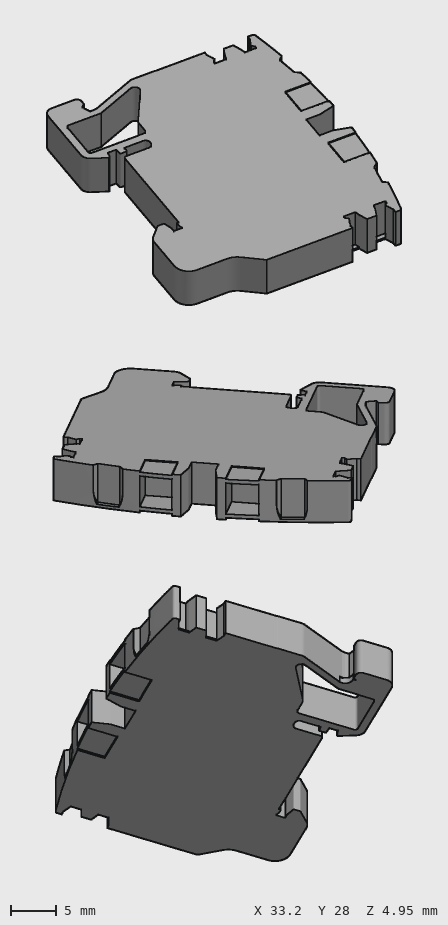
import cadquery as cq
import math

THICKNESS = 4.95
BODY_HALF_WIDTH = 16.55
UPPER_LEFT = -16.5
FOOT_LEFT = -16.65
CROWN_RADIUS = 73.05
CROWN_TOP = 28.05
CROWN_CORNER_RADIUS = 0.33
RAIL_FACE = 3.92
LIP_THICKNESS = 0.23

NOTCH_MIDDLE = 22.7
TOOTH_TIP_X = 16.05
NOTCH_FLOOR_X = 15.0
RELIEF_FLOOR_X = 14.4

SLOT_HALF_WIDTH = 1.5
SLOT_MOUTH_HALF_WIDTH = 2.03
SLOT_FLOOR = 24.3
SLOT_FLARE_START = 26.03

ENTRY_INNER_X = 3.0
ENTRY_OUTER_X = 6.6
ENTRY_FLOOR = 24.55
ENTRY_Z_MIN = 0.7
ENTRY_Z_MAX = 4.35
FRONT_RECESS_DEPTH = 0.13
BACK_RECESS_DEPTH = LIP_THICKNESS

GROOVE_Z_MIN = 0.35
GROOVE_END_CURVE_HEIGHT = 1.63

HOOK_ROUND_Z = 0.83

CLEARANCE = 1.65
ABOVE_CROWN = CROWN_TOP + CLEARANCE


def rounded_wire(corners):
    """Closed outline through (x, y) or (x, y, radius) corners, each radius rounding its corner."""
    stretches = []
    for i, corner in enumerate(corners):
        point = cq.Vector(corner[0], corner[1])
        radius = corner[2] if len(corner) > 2 else 0
        if radius == 0:
            stretches.append([point])
            continue
        before = corners[i - 1]
        after = corners[(i + 1) % len(corners)]
        to_before = (cq.Vector(before[0], before[1]) - point).normalized()
        to_after = (cq.Vector(after[0], after[1]) - point).normalized()
        half_angle = to_before.getAngle(to_after) / 2
        tangent_length = radius / math.tan(half_angle)
        middle_distance = radius / math.sin(half_angle) - radius
        middle = point + (to_before + to_after).normalized() * middle_distance
        stretches.append([point + to_before * tangent_length, middle, point + to_after * tangent_length])

    start = stretches[-1][-1]
    outline = cq.Workplane("XY").moveTo(start.x, start.y)
    for stretch in stretches:
        outline = outline.lineTo(stretch[0].x, stretch[0].y)
        if len(stretch) > 1:
            arc_middle, arc_end = stretch[1:]
            outline = outline.threePointArc((arc_middle.x, arc_middle.y), (arc_end.x, arc_end.y))
    return outline.close()


def plate(corners, z_min=0.0, z_max=THICKNESS):
    """Flat piece with the given rounded outline between two heights."""
    return rounded_wire(corners).extrude(z_max - z_min).translate((0, 0, z_min))


def both_sides(piece):
    """The piece together with its mirror image about X = 0."""
    return piece.union(piece.mirror("YZ"))


def block_with_feet():
    """Body, clip foot on the left and fixed foot on the right, below the arched crown."""
    corners = [
        (UPPER_LEFT, ABOVE_CROWN),
        (UPPER_LEFT, 13.95),
        (-BODY_HALF_WIDTH, 13.8),
        (-BODY_HALF_WIDTH, 10.82, 1.0),
        (-14.25, 5.28),
        (-14.18, 4.88),
        (-14.18, 4.38),
        (-15.2, 3.95),
        (-15.5, 4.38),
        (FOOT_LEFT, 4.38, 0.6),
        (FOOT_LEFT, 0, 0.93),
        (-7.7, 0, 1.13),
        (-6.5, 2.45),
        (-6.57, 2.62),
        (-7.27, 2.75),
        (-7.27, 3.8),
        (-6.47, 3.85, 0.1),
        (-6.47, 4.7, 0.1),
        (-7.1, 4.7),
        (-7.1, 7.6, 0.53),
        (-5.8, 7.6, 0.53),
        (-5.8, RAIL_FACE, 0.3),
        (6.47, RAIL_FACE),
        (6.47, 3.7),
        (6.97, 3.7),
        (7.47, 3.82),
        (7.47, 2.75),
        (6.9, 2.75),
        (5.88, 2.42, 0.1),
        (5.88, 1.63, 0.1),
        (7.5, 0, 1.2),
        (14.28, 0, 1.85),
        (14.28, 6.4, 2.32),
        (BODY_HALF_WIDTH, 9.3),
        (BODY_HALF_WIDTH, ABOVE_CROWN),
    ]
    crown = cq.Workplane("XY").center(0, CROWN_TOP - CROWN_RADIUS).circle(CROWN_RADIUS).extrude(THICKNESS)
    body = plate(corners).intersect(crown)
    for side in (-1, 1):
        corner_edge = cq.selectors.NearestToPointSelector((side * BODY_HALF_WIDTH, ABOVE_CROWN, THICKNESS / 2))
        body = body.edges("|Z").edges(corner_edge).fillet(CROWN_CORNER_RADIUS)
    return body


def hook_round():
    """Fills the hook throat near the back face with a concave round."""
    return (
        cq.Workplane("XY")
        .moveTo(-14.38, 5.58)
        .threePointArc((-14.55, 4.7), (-15.37, 4.38))
        .lineTo(-15.2, 3.82)
        .lineTo(-13.95, 4.3)
        .lineTo(-13.95, 5.08)
        .close()
        .extrude(HOOK_ROUND_Z)
    )


def clip_window():
    """Opening that leaves a springy arm above the clip foot."""
    return plate([
        (-13.3, 0.93, 0.33),
        (-13.3, 5.28),
        (-16.0, 11.8, 0.6),
        (-10.03, 8.07, 1.0),
        (-8.15, 8.07, 0.33),
        (-8.15, 0.93, 0.33),
    ])


def side_notches():
    """Two notches per side with a tooth between them, each with a relief that stops short of the back."""
    outside = BODY_HALF_WIDTH + CLEARANCE
    notch = plate([
        (outside, NOTCH_MIDDLE),
        (TOOTH_TIP_X, NOTCH_MIDDLE),
        (TOOTH_TIP_X, NOTCH_MIDDLE + 0.6),
        (NOTCH_FLOOR_X, NOTCH_MIDDLE + 1.0),
        (NOTCH_FLOOR_X, NOTCH_MIDDLE + 2.25),
        (TOOTH_TIP_X, NOTCH_MIDDLE + 2.7),
        (outside, NOTCH_MIDDLE + 2.7),
    ])
    relief = plate([
        (NOTCH_FLOOR_X, NOTCH_MIDDLE + 1.0),
        (NOTCH_FLOOR_X, NOTCH_MIDDLE + 2.25),
        (NOTCH_FLOOR_X - 0.3, NOTCH_MIDDLE + 2.6),
        (RELIEF_FLOOR_X, NOTCH_MIDDLE + 2.6),
        (RELIEF_FLOOR_X, NOTCH_MIDDLE + 1.15),
    ], LIP_THICKNESS)
    upper = notch.union(relief)
    lower = upper.mirror("XZ", (0, NOTCH_MIDDLE, 0))
    return both_sides(upper.union(lower))


def centre_slot():
    """Slot in the middle of the crown, flared towards its mouth."""
    flare = (SLOT_MOUTH_HALF_WIDTH - SLOT_HALF_WIDTH) / (CROWN_TOP - SLOT_FLARE_START)
    top_half_width = SLOT_HALF_WIDTH + flare * (ABOVE_CROWN - SLOT_FLARE_START)
    return plate([
        (-SLOT_HALF_WIDTH, SLOT_FLOOR),
        (SLOT_HALF_WIDTH, SLOT_FLOOR),
        (SLOT_HALF_WIDTH, SLOT_FLARE_START),
        (top_half_width, ABOVE_CROWN),
        (-top_half_width, ABOVE_CROWN),
        (-SLOT_HALF_WIDTH, SLOT_FLARE_START),
    ])


def wire_entries():
    """Rectangular entry in the crown on each side, with a shallow recess on both faces of the block."""
    square = [
        (ENTRY_INNER_X, ENTRY_FLOOR),
        (ENTRY_OUTER_X, ENTRY_FLOOR),
        (ENTRY_OUTER_X, ABOVE_CROWN),
        (ENTRY_INNER_X, ABOVE_CROWN),
    ]
    entry = plate(square, ENTRY_Z_MIN, ENTRY_Z_MAX)
    front_recess = plate(square, THICKNESS - FRONT_RECESS_DEPTH, THICKNESS)
    back_recess = plate(square, 0, BACK_RECESS_DEPTH)
    return both_sides(entry.union(front_recess).union(back_recess))


def marker_grooves():
    """Sloping groove in the crown on each side, open at the front, with rounded lower ends."""
    mouth_inner, mouth_outer = 8.53, 11.9
    floor_inner, floor_outer = 8.95, 11.5
    section = plate([
        (floor_inner, 26.95),
        (floor_outer, 26.55),
        (mouth_outer, 27.1),
        (mouth_outer, ABOVE_CROWN),
        (mouth_inner, ABOVE_CROWN),
        (mouth_inner, 27.52),
    ], GROOVE_Z_MIN)
    curve_top = GROOVE_Z_MIN + GROOVE_END_CURVE_HEIGHT
    curve_middle = GROOVE_Z_MIN + GROOVE_END_CURVE_HEIGHT / 2
    end_bulge = 0.1
    lengthwise = (
        cq.Workplane("XZ")
        .moveTo(floor_inner, GROOVE_Z_MIN)
        .lineTo(floor_outer, GROOVE_Z_MIN)
        .threePointArc(((floor_outer + mouth_outer) / 2 + end_bulge, curve_middle), (mouth_outer, curve_top))
        .lineTo(mouth_outer, THICKNESS)
        .lineTo(mouth_inner, THICKNESS)
        .lineTo(mouth_inner, curve_top)
        .threePointArc(((floor_inner + mouth_inner) / 2 - end_bulge, curve_middle), (floor_inner, GROOVE_Z_MIN))
        .close()
        .extrude(-ABOVE_CROWN)
    )
    return both_sides(section.intersect(lengthwise))


result = (
    block_with_feet()
    .union(hook_round())
    .cut(clip_window())
    .cut(side_notches())
    .cut(centre_slot())
    .cut(wire_entries())
    .cut(marker_grooves())
)